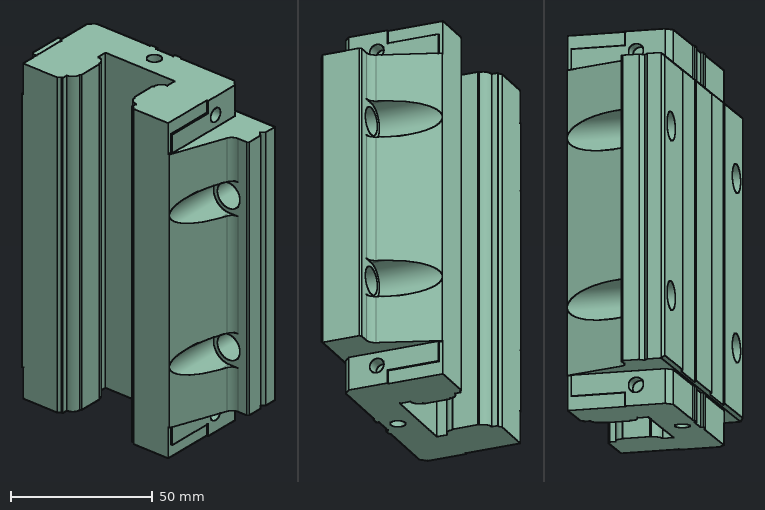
import cadquery as cq
import math

width = 100.0
height = 40.5
length = 136.6
top = height / 2
bottom = -height / 2

block_length = 111.3
skirt_foot_half_width = 34.0
flange_bottom = 4.2
skirt_top_half_width = 42.9
skirt_fillet = 3.4
top_chamfer = 1.1
flange_chamfer = 0.7
relief_inner = 9.7
relief_outer = 26.4
relief_depth = 0.5
edge_groove_center = 12.5
edge_groove_half_width = 1.5
edge_groove_depth = 1.6

cap_half_width = 34.2
cap_top = 18.3
cap_chamfer = 2.3
ridge_top = 18.9
ridge_half_width = 6.7
ridge_foot_half_width = 7.2
notch_half_width = 4.0
notch_floor = 17.9
side_relief_depth = 0.7
side_relief_top = 1.1
side_relief_length = 5.0
side_relief_foot = 1.5
port_diameter = 5.5
port_depth = 5.5
end_port_y = 12.3
side_port_y = 5.2
side_port_from_end = 7.5

channel_half_width = 16.0
channel_roof = 4.4
lobe_half_gap = 12.3
lobe_center = -8.3
lobe_half_height = 8.6
lobe_radius = 3.3
foot_chamfer = 1.0
foot_step = 0.7

hole_spacing_x = 82.0
hole_spacing_z = 61.7
hole_diameter = 10.4
spotface_radius = 7.0


def prism(outline, prism_length):
    """Extrude an XY outline along Z, centred on Z = 0."""
    return outline.close().extrude(prism_length / 2, both=True)


def make_block():
    half = width / 2
    outline = (
        cq.Workplane("XY")
        .moveTo(-half, top)
        .lineTo(-half, flange_bottom + flange_chamfer)
        .lineTo(-half + flange_chamfer, flange_bottom)
        .lineTo(-skirt_top_half_width, flange_bottom)
        .lineTo(-skirt_foot_half_width, bottom)
        .lineTo(skirt_foot_half_width, bottom)
        .lineTo(skirt_top_half_width, flange_bottom)
        .lineTo(half - flange_chamfer, flange_bottom)
        .lineTo(half, flange_bottom + flange_chamfer)
        .lineTo(half, top)
    )
    block = prism(outline, block_length)
    for side in (-1, 1):
        corner = cq.selectors.NearestToPointSelector((side * skirt_top_half_width, flange_bottom, 0))
        block = block.edges(corner).fillet(skirt_fillet)
    block = block.faces(">Y").chamfer(top_chamfer)

    for side in (-1, 1):
        relief = cq.Workplane("XY").box(relief_outer - relief_inner, 2 * relief_depth, length)
        block = block.cut(relief.translate((side * (relief_inner + relief_outer) / 2, top, 0)))

    groove = (
        cq.Workplane("XY")
        .moveTo(half, edge_groove_center + edge_groove_half_width)
        .lineTo(half - edge_groove_depth, edge_groove_center)
        .lineTo(half, edge_groove_center - edge_groove_half_width)
    )
    return block.cut(prism(groove, length))


def make_caps():
    """Both end caps as one bar that runs through the block."""
    right_half = [
        (cap_half_width, bottom),
        (cap_half_width, cap_top - cap_chamfer),
        (cap_half_width - cap_chamfer, cap_top),
        (ridge_foot_half_width, cap_top),
        (ridge_half_width, ridge_top),
        (notch_half_width, ridge_top),
        (notch_half_width, notch_floor),
    ]
    left_half = [(-x, y) for x, y in reversed(right_half)]
    bar = prism(cq.Workplane("XY").polyline(right_half + left_half), length)

    relief_height = side_relief_top - bottom
    for side in (-1, 1):
        flank_x = side * cap_half_width
        foot_strip = cq.Workplane("XY").box(2 * side_relief_depth, 2 * side_relief_foot, length)
        bar = bar.cut(foot_strip.translate((flank_x, bottom, 0)))
        for end in (-1, 1):
            end_layer = cq.Workplane("XY").box(2 * side_relief_depth, relief_height, 2 * side_relief_length)
            end_layer = end_layer.translate((flank_x, bottom + relief_height / 2, end * length / 2))
            port_z = end * (length / 2 - side_port_from_end)
            side_port = (
                cq.Workplane("YZ", origin=(flank_x, side_port_y, port_z))
                .circle(port_diameter / 2)
                .extrude(-side * port_depth)
            )
            bar = bar.cut(end_layer).cut(side_port)

    for end in (-1, 1):
        end_port = (
            cq.Workplane("XY", origin=(0, end_port_y, end * length / 2))
            .circle(port_diameter / 2)
            .extrude(-end * port_depth)
        )
        bar = bar.cut(end_port)
    return bar


def make_channel():
    """Rail channel with lobed flanks, as a solid to cut away."""
    lobe_top = lobe_center + lobe_half_height
    lobe_bottom = lobe_center - lobe_half_height
    bevel = channel_half_width - lobe_radius - lobe_half_gap
    arc_offset = lobe_radius * math.sqrt(0.5)
    upper_arc_center = lobe_top - lobe_radius
    lower_arc_center = lobe_bottom + lobe_radius
    arc_side = channel_half_width - lobe_radius
    foot_half_width = channel_half_width + foot_step
    outline = (
        cq.Workplane("XY")
        .moveTo(0, channel_roof)
        .lineTo(channel_half_width, channel_roof)
        .lineTo(channel_half_width, lobe_top)
        .threePointArc(
            (channel_half_width - arc_offset, upper_arc_center + arc_offset),
            (arc_side, upper_arc_center),
        )
        .lineTo(lobe_half_gap, upper_arc_center - bevel)
        .lineTo(lobe_half_gap, lower_arc_center + bevel)
        .lineTo(arc_side, lower_arc_center)
        .threePointArc(
            (channel_half_width - arc_offset, lower_arc_center - arc_offset),
            (channel_half_width, lobe_bottom),
        )
        .lineTo(channel_half_width, bottom + foot_chamfer)
        .lineTo(foot_half_width, bottom + foot_chamfer)
        .lineTo(foot_half_width + foot_chamfer, bottom)
        .lineTo(0, bottom)
    )
    half_channel = prism(outline, length)
    return half_channel.union(half_channel.mirror("YZ"))


def make_mounting_hole(side, end):
    """Through hole with a U-shaped spotface that opens outward under the flange."""
    x = side * hole_spacing_x / 2
    z = end * hole_spacing_z / 2
    seat_height = flange_bottom - bottom
    outward = width / 2 - hole_spacing_x / 2
    hole = cq.Workplane("XZ").center(x, z).circle(hole_diameter / 2).extrude(height, both=True)
    seat = cq.Workplane("XZ", origin=(0, bottom, 0)).center(x, z).circle(spotface_radius).extrude(-seat_height)
    opening = cq.Workplane("XY").box(outward, seat_height, 2 * spotface_radius)
    opening = opening.translate((x + side * outward / 2, bottom + seat_height / 2, z))
    return hole.union(seat).union(opening)


result = make_block().union(make_caps()).cut(make_channel())
for side in (-1, 1):
    for end in (-1, 1):
        result = result.cut(make_mounting_hole(side, end))